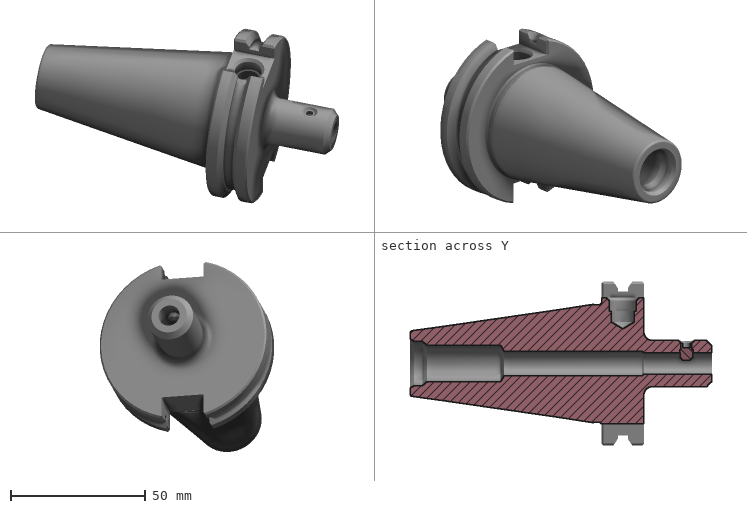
import cadquery as cq
import math

drill_tip_angle = 118.0

total_length = 112.7
taper_ratio = 7 / 24
gauge_radius = 22.2
taper_end_x = 68.4
nose_round = 1.0
neck_radius = 22.0
neck_bevel = 0.3
nose_radius = gauge_radius - taper_end_x * taper_ratio / 2

flange_x = 71.5
flange_width = 15.9
flange_end_x = flange_x + flange_width
flange_mid_x = flange_x + flange_width / 2
flange_radius = 31.8
flange_bevel = 0.7
root_bevel = 0.7
groove_start_x = 75.9
groove_end_x = 83.0
groove_wall_run = 1.7
groove_wall_drop = 2.6
groove_floor_radius = 28.1

slot_width = 16.0
slot_edge_bevel = 0.8
upper_slot_z = 24.6
lower_slot_z = -22.5
pocket_diameter = 10.0
pocket_mouth_diameter = 12.1
pocket_depth = 5.0
pocket_drill_diameter = 8.5
pocket_drill_depth = 9.0

shank_radius = 8.74
shank_fillet = 3.0
shank_bevel = 2.0

mouth_radius = 9.1
mouth_depth = 1.6
counterbore_radius = 16.5 / 2
counterbore_depth = 4.6
step_cone_depth = 1.8
thread_radius = 13.4 / 2
thread_end_x = 33.8
deep_bore_radius = 8.9 / 2
deep_bore_end_x = 86.8
bore_radius = 8.0 / 2

screw_x = 103.1
screw_radius = 4.8 / 2
screw_neck_radius = 4.0 / 2
screw_tip_radius = 1.4
screw_point_height = 1.2
screw_tip_z = 1.1
screw_shoulder_z = 5.1
screw_top_z = 7.7
socket_radius = 1.4
socket_depth = 1.7
countersink_height = 2.3


def revolve_about_x(profile):
    return profile.close().revolve(360, (0, 0, 0), (1, 0, 0))


def revolve_about_z(points, x):
    """Turn (radius, z) points about a vertical axis that stands at the given X."""
    turned = cq.Workplane("XZ").polyline(points).close().revolve(360, (0, 0, 0), (0, 1, 0))
    return turned.translate((x, 0, 0))


def make_turned_blank():
    round_end_radius = nose_radius + nose_round * taper_ratio / 2
    diagonal = nose_round * (1 - math.sqrt(0.5))
    fillet_diagonal = shank_fillet * (1 - math.sqrt(0.5))
    groove_wall_radius = flange_radius - groove_wall_drop
    profile = (
        cq.Workplane("XY")
        .lineTo(0, round_end_radius - nose_round)
        .threePointArc((diagonal, round_end_radius - diagonal), (nose_round, round_end_radius))
        .lineTo(taper_end_x, gauge_radius)
        .lineTo(taper_end_x + neck_bevel, neck_radius)
        .lineTo(flange_x - root_bevel, neck_radius)
        .lineTo(flange_x, neck_radius + root_bevel)
        .lineTo(flange_x, flange_radius - flange_bevel)
        .lineTo(flange_x + flange_bevel, flange_radius)
        .lineTo(groove_start_x, flange_radius)
        .lineTo(groove_start_x + groove_wall_run, groove_wall_radius)
        .lineTo(groove_start_x + groove_wall_run, groove_floor_radius)
        .lineTo(groove_end_x - groove_wall_run, groove_floor_radius)
        .lineTo(groove_end_x - groove_wall_run, groove_wall_radius)
        .lineTo(groove_end_x, flange_radius)
        .lineTo(flange_end_x - flange_bevel, flange_radius)
        .lineTo(flange_end_x, flange_radius - flange_bevel)
        .lineTo(flange_end_x, shank_radius + shank_fillet)
        .threePointArc(
            (flange_end_x + fillet_diagonal, shank_radius + fillet_diagonal),
            (flange_end_x + shank_fillet, shank_radius),
        )
        .lineTo(total_length - shank_bevel, shank_radius)
        .lineTo(total_length, shank_radius - shank_bevel)
        .lineTo(total_length, 0)
    )
    return revolve_about_x(profile)


def make_bore():
    step_end_x = counterbore_depth + step_cone_depth
    cone_slope = math.tan(math.radians(drill_tip_angle / 2))
    thread_cone_end_x = thread_end_x + (thread_radius - deep_bore_radius) / cone_slope
    deep_bore_cone_end_x = deep_bore_end_x + (deep_bore_radius - bore_radius) / cone_slope
    profile = (
        cq.Workplane("XY")
        .lineTo(0, mouth_radius)
        .lineTo(mouth_depth, counterbore_radius)
        .lineTo(counterbore_depth, counterbore_radius)
        .lineTo(step_end_x, thread_radius)
        .lineTo(thread_end_x, thread_radius)
        .lineTo(thread_cone_end_x, deep_bore_radius)
        .lineTo(deep_bore_end_x, deep_bore_radius)
        .lineTo(deep_bore_cone_end_x, bore_radius)
        .lineTo(total_length, bore_radius)
        .lineTo(total_length, 0)
    )
    return revolve_about_x(profile)


def make_drive_slot(floor_z):
    """Slot across the flange from floor_z outward, its wall edges bevelled on the front face."""
    outward = math.copysign(1, floor_z)
    height = flange_radius - abs(floor_z)
    half_width = slot_width / 2
    wide_half = half_width + slot_edge_bevel
    outline = [
        (flange_x, -wide_half),
        (flange_x + slot_edge_bevel, -half_width),
        (flange_end_x, -half_width),
        (flange_end_x, half_width),
        (flange_x + slot_edge_bevel, half_width),
        (flange_x, wide_half),
    ]
    slot = cq.Workplane("XY").workplane(offset=floor_z).polyline(outline).close().extrude(outward * height)

    rim_z = math.sqrt(flange_radius**2 - wide_half**2)
    spread = flange_radius - rim_z
    rim_bevel = [
        (-half_width, outward * (rim_z - slot_edge_bevel)),
        (half_width, outward * (rim_z - slot_edge_bevel)),
        (wide_half + spread, outward * flange_radius),
        (-wide_half - spread, outward * flange_radius),
    ]
    bevel_cut = cq.Workplane("YZ").workplane(offset=flange_x).polyline(rim_bevel).close().extrude(flange_width)
    return slot.union(bevel_cut)


def make_drive_pocket():
    mouth = pocket_mouth_diameter / 2
    wall = pocket_diameter / 2
    drill = pocket_drill_diameter / 2
    drill_bottom_z = upper_slot_z - pocket_drill_depth
    point_length = drill / math.tan(math.radians(drill_tip_angle / 2))
    points = [
        (0, upper_slot_z),
        (mouth, upper_slot_z),
        (wall, upper_slot_z - (mouth - wall)),
        (wall, upper_slot_z - pocket_depth),
        (drill, upper_slot_z - pocket_depth),
        (drill, drill_bottom_z),
        (0, drill_bottom_z - point_length),
    ]
    return revolve_about_z(points, flange_mid_x)


def make_screw_hole():
    """Stepped hole from the bore to a conical mouth on top of the shank."""
    cone_top_z = screw_top_z + countersink_height
    points = [
        (0, 0),
        (screw_radius, 0),
        (screw_radius, screw_shoulder_z),
        (screw_neck_radius, screw_shoulder_z),
        (screw_neck_radius, screw_top_z),
        (screw_neck_radius + countersink_height, cone_top_z),
        (0, cone_top_z),
    ]
    return revolve_about_z(points, screw_x)


def make_holder():
    holder = make_turned_blank().cut(make_bore())
    for floor_z in (upper_slot_z, lower_slot_z):
        holder = holder.cut(make_drive_slot(floor_z))
    return holder.cut(make_drive_pocket()).cut(make_screw_hole())


def make_screw():
    """Screw with a blunt conical point that reaches into the bore and a round socket on top."""
    point_end_z = screw_tip_z + screw_point_height
    socket_floor_z = screw_top_z - socket_depth
    points = [
        (0, screw_tip_z),
        (screw_tip_radius, screw_tip_z),
        (screw_radius, point_end_z),
        (screw_radius, screw_shoulder_z),
        (screw_neck_radius, screw_shoulder_z),
        (screw_neck_radius, screw_top_z),
        (socket_radius, screw_top_z),
        (socket_radius, socket_floor_z),
        (0, socket_floor_z),
    ]
    return revolve_about_z(points, screw_x)


holder = make_holder()
screw = make_screw()
result = cq.Compound.makeCompound([holder.val(), screw.val()])